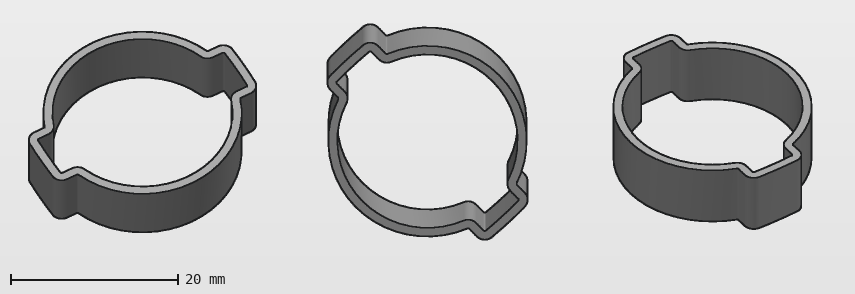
import cadquery as cq

band_width = 8.0
thickness = 1.1
ring_radius = 23.7 / 2
ear_reach = 14.0
ear_width = 7.9
crown_radius = 55.98
bend_radius = 0.2
outer_bend_radius = bend_radius + thickness


def ear_bar(inset):
    """Both ears as one bar through the ring axis, with bowed ends, shrunk by inset."""
    half_width = ear_width / 2 - inset
    reach = ear_reach - inset
    bow_radius = crown_radius - inset
    shoulder = reach - bow_radius + (bow_radius**2 - half_width**2) ** 0.5
    return (
        cq.Workplane("XY")
        .moveTo(-half_width, -shoulder)
        .threePointArc((0, -reach), (half_width, -shoulder))
        .lineTo(half_width, shoulder)
        .threePointArc((0, reach), (-half_width, shoulder))
        .close()
        .extrude(band_width)
    )


def clamp_body(ears, inset, root_bend):
    """Join the ring disc, shrunk by inset, to the ears and round the four ear roots."""
    radius = ring_radius - inset
    body = cq.Workplane("XY").circle(radius).extrude(band_width).union(ears)

    leg_x = ear_width / 2 - inset
    root_y = (radius**2 - leg_x**2) ** 0.5
    for x in (-leg_x, leg_x):
        for y in (-root_y, root_y):
            root = cq.selectors.NearestToPointSelector((x, y, band_width / 2))
            body = body.edges(root).fillet(root_bend)
    return body


outer_ears = ear_bar(0).edges("|Z").fillet(outer_bend_radius)
inner_ears = ear_bar(thickness).edges("|Z").fillet(bend_radius)

outside = clamp_body(outer_ears, 0, bend_radius)
inside = clamp_body(inner_ears, thickness, outer_bend_radius)
result = outside.cut(inside)